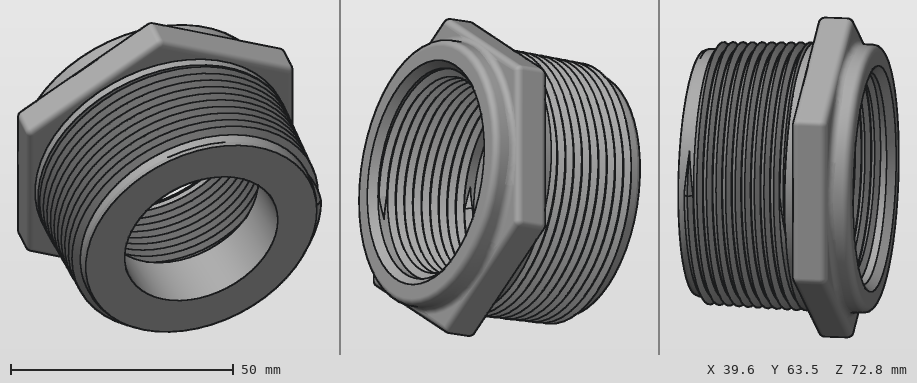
import cadquery as cq
import math

corner_span = 72.85
flange_start = 4.8
flange_width = 8.0
edge_round = 1.5

length = 39.6
collar_radius = 60.3 / 2
collar_round = 1.5
neck_round = 1.45
rear_collar_radius = 60.2 / 2
rear_collar_end = 14.8
flange_mid = flange_start + flange_width / 2

turns = 10
thread_length = 22.1
pitch = thread_length / turns
radial_taper = 1 / 32
taper_angle = math.degrees(math.atan(radial_taper))
thread_height = 1.6
thread_half_base = 1.0
root_overlap = 0.1
fade_steps = 4
fade_tip_size = 0.02

outer_end_x = 37.15
outer_start_x = outer_end_x - thread_length
outer_end_root = 27.9
outer_fade = 21.0
end_chamfer = 0.3
end_chamfer_length = 0.9

mouth_radius = 25.4
socket_radius = 23.9
lead_in = 1.9
socket_depth = 26.5
bore_radius = 36.5 / 2

inner_start_x = 3.2
inner_fade = 13.0


def outer_root(x):
    """Radius of the tapered shank at x."""
    return outer_end_root + (outer_end_x - x) * radial_taper


def socket_wall(x):
    """Radius of the tapered socket at x."""
    return socket_radius - (x - lead_in) * radial_taper


def revolved(points):
    """Solid of revolution about X from (x, radius) points."""
    return cq.Workplane("XY").polyline(points).close().revolve(360, (0, 0), (1, 0))


def ridge_profile(root, side, size=1.0):
    """Corners (radius, axial) of the V section, its base sunk into the wall."""
    base = root - side * root_overlap
    depth = size * (thread_height + root_overlap)
    half_base = size * thread_half_base * (1 + root_overlap / thread_height)
    return [(base, -half_base), (base, half_base), (base + side * depth, 0)]


def fade_out(root, axial, side, heading, fade_angle):
    """V section carried on round the helix while it shrinks into the wall."""
    sections = []
    for step in range(fade_steps + 1):
        turn = math.radians(heading * fade_angle * step / fade_steps)
        size = max(1 - step / fade_steps, fade_tip_size)
        advance = axial + pitch * turn / (2 * math.pi)
        corners = [
            cq.Vector(radius * math.cos(turn), radius * math.sin(turn), advance + offset)
            for radius, offset in ridge_profile(root, side, size)
        ]
        sections.append(cq.Wire.makePolygon(corners, close=True))
    return cq.Workplane(cq.Solid.makeLoft(sections, ruled=True))


def thread_ridge(start_x, root, side, fade_angle):
    """V ridge wound about X from the +Y side; side is 1 outward, -1 inward."""
    end_root = root - thread_length * radial_taper
    helix = cq.Wire.makeHelix(pitch, thread_length, root, angle=-taper_angle)
    ridge = (
        cq.Workplane("XZ")
        .polyline(ridge_profile(root, side))
        .close()
        .sweep(cq.Workplane(helix), isFrenet=True)
        .union(fade_out(root, 0, side, -1, fade_angle))
        .union(fade_out(end_root, thread_length, side, 1, fade_angle))
    )
    return ridge.rotate((0, 0, 0), (1, 1, 1), 120).translate((start_x, 0, 0))


def flange_with_front_collar():
    """Rounded hexagon with the front collar blended into its face."""
    sharp_span = corner_span + 2 * edge_round * (1 / math.cos(math.radians(30)) - 1)
    flange = (
        cq.Workplane("YZ", origin=(flange_start, 0, 0))
        .polygon(6, sharp_span)
        .extrude(flange_width)
        .rotate((0, 0, 0), (1, 0, 0), 90)
        .edges()
        .fillet(edge_round)
    )
    collar = (
        cq.Workplane("YZ")
        .circle(collar_radius)
        .extrude(flange_mid)
        .faces("<X")
        .edges()
        .fillet(collar_round)
    )
    return (
        flange.union(collar)
        .edges("%CIRCLE")
        .edges(cq.selectors.RadiusNthSelector(-1))
        .edges(cq.selectors.NearestToPointSelector((flange_start, 0, 0)))
        .fillet(neck_round)
    )


def threaded_shank():
    """Rear collar and tapered shank with the outside thread."""
    chamfer_start = length - end_chamfer_length
    shank = revolved([
        (flange_mid, 0),
        (flange_mid, rear_collar_radius),
        (rear_collar_end, rear_collar_radius),
        (rear_collar_end, outer_root(rear_collar_end)),
        (chamfer_start, outer_root(chamfer_start)),
        (length, outer_root(length) - end_chamfer),
        (length, 0),
    ])
    ridge = thread_ridge(outer_start_x, outer_root(outer_start_x), 1, outer_fade)
    return shank.union(ridge)


def threaded_opening():
    """Space of the socket and bore, with the inside thread left standing."""
    opening = revolved([
        (0, 0),
        (0, mouth_radius),
        (lead_in, socket_radius),
        (socket_depth, socket_wall(socket_depth)),
        (socket_depth, bore_radius),
        (length, bore_radius),
        (length, 0),
    ])
    ridge = thread_ridge(inner_start_x, socket_wall(inner_start_x), -1, inner_fade)
    return opening.cut(ridge)


result = flange_with_front_collar().union(threaded_shank()).cut(threaded_opening())